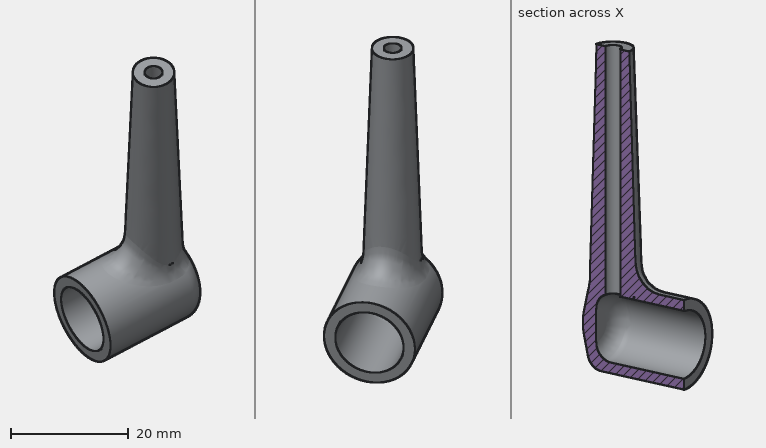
import cadquery as cq
import math

hub_radius = 8.0
hub_length = 21.5
rim_radius = 3.0
straight_length = 17.5
end_cone_degrees = 13.0
bore_diameter = 12.0
end_wall = 2.95
bore_floor_radius = 3.0

overall_height = 58.0
stem_y = 15.1
stem_tip_radius = 3.55
stem_taper_degrees = 2.0
stem_hole_radius = 1.5
stem_blend_radius = 5.0

stem_top = overall_height - hub_radius
stem_base_radius = stem_tip_radius + stem_top * math.tan(math.radians(stem_taper_degrees))


def make_hub():
    """Revolve the solid hub: side, rounded rim, shallow cone and rounded tip, all tangent."""
    slope = math.radians(end_cone_degrees)
    rim_center_x = hub_radius - rim_radius
    cone_apex_y = straight_length + (rim_radius + rim_center_x * math.sin(slope)) / math.cos(slope)
    tip_radius = (cone_apex_y - hub_length) / (1 / math.cos(slope) - 1)
    tip_center_y = hub_length - tip_radius

    def arc_point(center_x, center_y, radius, angle_from_axis):
        return (
            center_x + radius * math.sin(angle_from_axis),
            center_y + radius * math.cos(angle_from_axis),
        )

    rim_middle_angle = (slope + math.pi / 2) / 2
    return (
        cq.Workplane("XY")
        .lineTo(hub_radius, 0)
        .lineTo(hub_radius, straight_length)
        .threePointArc(
            arc_point(rim_center_x, straight_length, rim_radius, rim_middle_angle),
            arc_point(rim_center_x, straight_length, rim_radius, slope),
        )
        .lineTo(*arc_point(0, tip_center_y, tip_radius, slope))
        .threePointArc(arc_point(0, tip_center_y, tip_radius, slope / 2), (0, hub_length))
        .close()
        .revolve(360, (0, 0), (0, 1))
    )


def make_stem():
    """Revolve the solid stem from the hub axis up to its tip."""
    return cq.Workplane(
        cq.Solid.makeCone(
            stem_base_radius, stem_tip_radius, stem_top, cq.Vector(0, stem_y, 0), cq.Vector(0, 0, 1)
        )
    )


def make_bore():
    """Blind bore with a rounded floor."""
    depth = hub_length - end_wall
    return (
        cq.Workplane("XZ")
        .circle(bore_diameter / 2)
        .extrude(-depth)
        .faces(">Y")
        .edges()
        .fillet(bore_floor_radius)
    )


def make_stem_hole():
    """Hole down the stem, opening into the bore."""
    return cq.Workplane("XY").center(0, stem_y).circle(stem_hole_radius).extrude(stem_top)


def blend_stem(body):
    """Fillet the edges where the stem meets the hub."""
    junction_box = cq.selectors.BoxSelector(
        (-stem_base_radius, stem_y - stem_base_radius, hub_radius / 2),
        (stem_base_radius, hub_length, hub_radius),
    )
    return body.edges(junction_box).fillet(stem_blend_radius)


body = blend_stem(make_hub().union(make_stem()))
result = body.cut(make_bore()).cut(make_stem_hole())